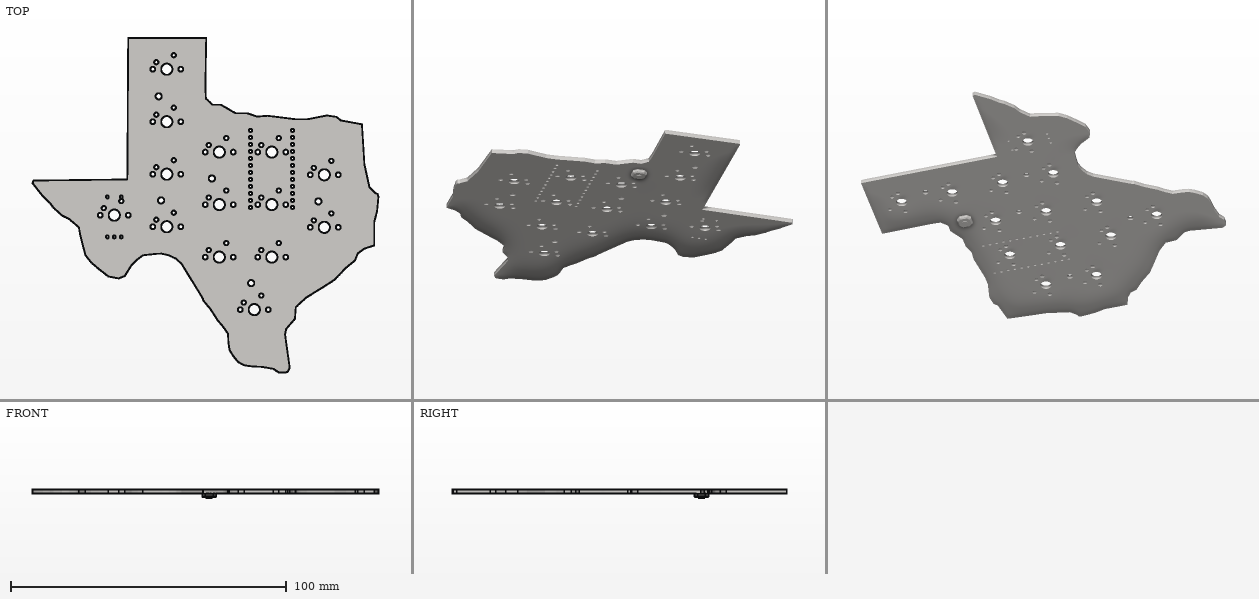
import cadquery as cq


TOTAL_HEIGHT = 3.19
BOARD_THICKNESS = 1.6
BOARD_WIDTH = 125.58
BOARD_DEPTH = 121.44
BOARD_EAST = BOARD_WIDTH / 2
BOARD_WEST = -BOARD_EAST
BOARD_NORTH = BOARD_DEPTH / 2
BOARD_SOUTH = -BOARD_NORTH

PANHANDLE = [
    (-28.1, 59.8), (-28.0, BOARD_NORTH), (0.3, BOARD_NORTH), (0.0, 42.6), (0.2, 38.7),
]
RED_RIVER = [
    (2.5, 36.5), (5.6, 36.5), (10.9, 33.4), (15.2, 33.4), (18.7, 32.2), (22.5, 32.5),
    (33.0, 31.2), (36.8, 31.2), (44.0, 32.6), (47.5, 32.1), (49.1, 30.8), (56.8, 29.4),
]
EAST_BORDER = [
    (57.7, 14.8), (59.5, 6.6), (61.7, 4.4), (62.5, 4.1), (BOARD_EAST, 3.0), (62.3, -2.1),
    (61.3, -6.0), (61.3, -14.6),
]
GULF_COAST = [
    (57.6, -15.8), (55.3, -17.5), (54.3, -20.0), (50.9, -22.8), (46.8, -27.1), (42.6, -29.8),
    (36.6, -33.5), (34.6, -35.3), (32.8, -37.0), (32.5, -41.2), (29.3, -44.9), (28.9, -46.9),
    (30.6, -59.0),
]
RIO_GRANDE = [
    (29.9, -60.4), (29.2, BOARD_SOUTH), (26.6, BOARD_SOUTH), (24.6, -59.4), (20.5, -58.7), (16.6, -58.5),
    (14.0, -58.1), (11.8, -56.9), (9.8, -54.4), (8.7, -52.5), (8.3, -50.2), (8.1, -46.6),
    (6.3, -44.0), (4.4, -41.8), (1.7, -37.6), (-0.9, -34.5), (-1.0, -33.9), (-3.6, -29.6),
    (-8.7, -21.3), (-10.6, -19.5), (-13.3, -18.2), (-16.0, -17.6), (-18.1, -17.7), (-22.7, -18.2),
    (-24.7, -19.7), (-26.9, -21.9), (-27.7, -23.2), (-29.3, -25.7), (-31.5, -26.6), (-35.2, -25.9),
    (-38.8, -23.1), (-41.6, -20.7), (-43.6, -18.1), (-44.4, -15.1), (-45.5, -10.8), (-46.0, -8.0),
    (-49.4, -5.1), (-52.0, -3.8), (-55.2, -0.9), (-56.4, 0.7), (-59.0, 3.2),
]
WEST_CORNER = [
    (BOARD_WEST, 8.0), (-62.4, 9.0), (-28.4, 9.4),
]
BORDER = PANHANDLE + RED_RIVER + EAST_BORDER + GULF_COAST + RIO_GRANDE + WEST_CORNER

KEY_PITCH = 19.05
WEST_COLUMN_X = -33.1
COLUMN_X = [WEST_COLUMN_X + column * KEY_PITCH for column in range(5)]
WEST_KEY_Y = -3.6
PANHANDLE_LOW_KEY_Y = -7.8
CENTRE_LOW_KEY_Y = -18.82
EAST_LOW_KEY_Y = -8.02
SOUTH_KEY_SHIFT = KEY_PITCH / 3


def key_column(x, lowest_y, count):
    return [(x, lowest_y + row * KEY_PITCH) for row in range(count)]


KEY_CENTRES = (
    key_column(COLUMN_X[0], WEST_KEY_Y, 1)
    + key_column(COLUMN_X[1], PANHANDLE_LOW_KEY_Y, 4)
    + key_column(COLUMN_X[2], CENTRE_LOW_KEY_Y, 3)
    + key_column(COLUMN_X[3], CENTRE_LOW_KEY_Y, 3)
    + key_column(COLUMN_X[4], EAST_LOW_KEY_Y, 2)
    + key_column(COLUMN_X[3] - SOUTH_KEY_SHIFT, CENTRE_LOW_KEY_Y - KEY_PITCH, 1)
)

GRID = 2.54
STEM_HOLE_DIAMETER = 4.0
SIDE_PEG_DIAMETER = 1.7
SIDE_PEG_OFFSETS = [(-2 * GRID, 0), (2 * GRID, 0)]
KEY_PIN_DIAMETER = 1.5
KEY_PIN_OFFSETS = [(-1.5 * GRID, GRID), (GRID, 2 * GRID)]

CONTROLLER_HOLE_DIAMETER = 1.09
CONTROLLER_PIN_COUNT = 12
CONTROLLER_CENTRE = (23.95, 13.17)
CONTROLLER_ROW_SPACING = 6 * GRID

ENCODER_HOLE_DIAMETER = 1.0
ENCODER_PIN_PITCH = 2.5
ENCODER_SOUTH_Y = -11.5
ENCODER_ROW_SPACING = 14.5
ENCODER_NORTH_Y = ENCODER_SOUTH_Y + ENCODER_ROW_SPACING

MOUNTING_HOLE_DIAMETER = 2.2
MOUNTING_HOLES = [(-17.0, 39.52), (2.3, 9.72), (-16.1, 1.74), (40.95, 1.4), (16.58, -28.25)]

BUTTON_CENTRE = (1.35, 29.8)
BUTTON_HEIGHT = TOTAL_HEIGHT - BOARD_THICKNESS
BUTTON_BODY_WIDTH = 5.2
BUTTON_BODY_CORNER = 1.2
BUTTON_BODY_HEIGHT = 1.35
BUTTON_BODY_BEVEL = 0.45
PLUNGER_DIAMETER = 2.0


def drill(plate, points, diameter):
    drills = (
        cq.Workplane("XY").pushPoints(points).circle(diameter / 2).extrude(-BOARD_THICKNESS)
    )
    return plate.cut(drills)


def around_keys(offsets):
    return [(x + dx, y + dy) for x, y in KEY_CENTRES for dx, dy in offsets]


def controller_points():
    x, y = CONTROLLER_CENTRE
    first_pin_y = y - (CONTROLLER_PIN_COUNT - 1) * GRID / 2
    return [
        (x + side * CONTROLLER_ROW_SPACING / 2, first_pin_y + pin * GRID)
        for side in (-1, 1)
        for pin in range(CONTROLLER_PIN_COUNT)
    ]


def encoder_points():
    south_pins = [(WEST_COLUMN_X + step * ENCODER_PIN_PITCH, ENCODER_SOUTH_Y) for step in (-1, 0, 1)]
    north_pins = [(WEST_COLUMN_X + step * ENCODER_PIN_PITCH, ENCODER_NORTH_Y) for step in (-1, 1)]
    return south_pins + north_pins


def make_board():
    plate = cq.Workplane("XY").polyline(BORDER).close().extrude(-BOARD_THICKNESS)
    plate = drill(plate, KEY_CENTRES, STEM_HOLE_DIAMETER)
    plate = drill(plate, around_keys(SIDE_PEG_OFFSETS), SIDE_PEG_DIAMETER)
    plate = drill(plate, around_keys(KEY_PIN_OFFSETS), KEY_PIN_DIAMETER)
    plate = drill(plate, controller_points(), CONTROLLER_HOLE_DIAMETER)
    plate = drill(plate, encoder_points(), ENCODER_HOLE_DIAMETER)
    return drill(plate, MOUNTING_HOLES, MOUNTING_HOLE_DIAMETER)


def make_button():
    seat = cq.Workplane("XY", origin=(*BUTTON_CENTRE, -BOARD_THICKNESS))
    body = (
        seat.rect(BUTTON_BODY_WIDTH, BUTTON_BODY_WIDTH)
        .extrude(-BUTTON_BODY_HEIGHT)
        .edges("|Z")
        .chamfer(BUTTON_BODY_CORNER)
        .faces("<Z")
        .chamfer(BUTTON_BODY_BEVEL)
    )
    plunger = seat.circle(PLUNGER_DIAMETER / 2).extrude(-BUTTON_HEIGHT)
    return body.union(plunger)


board = make_board()
button = make_button()
result = cq.Compound.makeCompound([board.val(), button.val()])